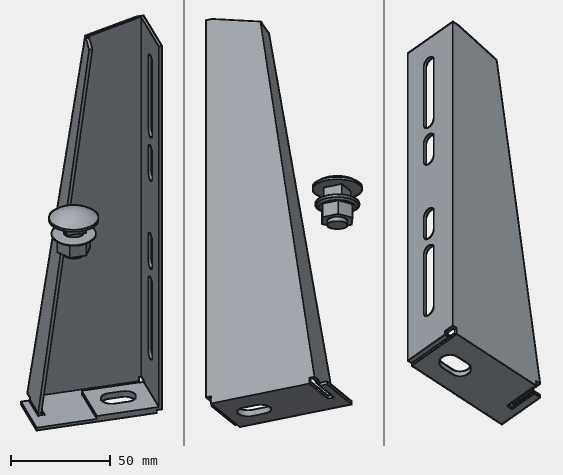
import cadquery as cq
import math

width = 32.5
depth = 65.5
height = 210.3
sheet = 1.7

wall_top_flat = 3.5
slope_top = (35.0, 203.5)
slope_bottom = (4.6, 2.7)

flange_top_width = 8.8
flange_bottom_width = 19.8
flange_top_drop = 3.2
flange_clearance = 2.0
front_notch_height = 3.2

back_notch_height = 4.0
back_notch_depth = 2.7
relief_front = 4.2
relief_back = 7.5
relief_length = 20.8
tab_left = 5.9
base_front_left = 4.8

tab_length = 34.0

hole_x = 17.5
slot_width = 7.0
slot_middle_z = 110.0
long_slot = (47.1, 63.7)
short_slot = (20.0, 25.2)
base_hole_width = 11.0
base_hole_length = 17.9
base_hole_from_back = 18.3

bolt_x = 46.5
bolt_y = 15.1
bolt_bottom = 106.6
shank_diameter = 10.0
shank_length = 13.9
neck_length = 5.7
head_radius = 12.5
head_rim = 1.3
head_dome = 4.5

nut_bottom = 109.0
nut_height = 9.9
nut_across_flats = 15.0
nut_flange_radius = 11.1
nut_flange_rim = 1.5
nut_flange_height = 2.5
nut_flange_bottom_radius = 9.3


def box(x, y, z):
    """Box from (start, end) ranges."""
    return cq.Workplane("XY").box(
        x[1] - x[0], y[1] - y[0], z[1] - z[0], centered=False
    ).translate((x[0], y[0], z[0]))


slope_y = slope_top[0] - slope_bottom[0]
slope_z = slope_top[1] - slope_bottom[1]
sheet_along_y = sheet * math.hypot(slope_y, slope_z) / slope_z
foot = (slope_bottom[0] - slope_y / slope_z * slope_bottom[1], 0)


def side_wall():
    """Flat wall with a falling top edge and a sloping front edge."""
    return (
        cq.Workplane("YZ")
        .polyline([
            (depth, 0),
            (depth, height),
            (depth - wall_top_flat, height),
            slope_top,
            foot,
        ])
        .close()
        .extrude(sheet)
    )


def back_plate():
    """Upright plate with two pairs of mounting slots."""
    plate = box((0, width), (depth - sheet, depth), (sheet, height))
    for side in (-1, 1):
        for length, offset in (long_slot, short_slot):
            slot = (
                cq.Workplane("XZ", origin=(hole_x, depth, slot_middle_z + side * offset))
                .slot2D(length, slot_width, 90)
                .extrude(sheet)
            )
            plate = plate.cut(slot)
    return plate


def rear_tab():
    """Tab folded forward from the lower end of the back plate, lying on the base."""
    return box((tab_left, width), (depth - tab_length, depth), (sheet, 2 * sheet))


def base():
    """Base folded from the side wall, with the relief slot below the front flange."""
    main = box((0, width), (relief_back, depth - back_notch_depth), (0, sheet))
    front = box((base_front_left, width), (0, relief_back), (0, sheet))
    relief = box((0, relief_length), (relief_front, relief_back), (0, sheet))
    return main.union(front.cut(relief))


def front_flange():
    """Tapered flange folded along the sloping front edge of the side wall."""
    strip = (
        cq.Workplane("YZ")
        .polyline([
            foot,
            slope_top,
            (slope_top[0] + sheet_along_y, slope_top[1]),
            (foot[0] + sheet_along_y, 0),
        ])
        .close()
        .extrude(width)
    )
    taper = (
        cq.Workplane("XZ", origin=(0, depth, 0))
        .polyline([
            (0, flange_clearance),
            (0, slope_top[1]),
            (flange_top_width, slope_top[1] - flange_top_drop),
            (flange_bottom_width, flange_clearance),
        ])
        .close()
        .extrude(depth)
    )
    return strip.intersect(taper)


def make_bracket():
    back_notch = box((0, tab_left), (depth - back_notch_depth, depth), (0, back_notch_height))
    front_notch = box((0, base_front_left), (0, relief_back), (0, front_notch_height))
    base_hole = (
        cq.Workplane("XY", origin=(hole_x, depth - base_hole_from_back, 0))
        .slot2D(base_hole_length, base_hole_width, 90)
        .extrude(2 * sheet)
    )
    body = side_wall().union(back_plate()).union(rear_tab()).union(base()).union(front_flange())
    return body.cut(back_notch).cut(front_notch).cut(base_hole)


def make_bolt():
    """Carriage bolt: round shank, square neck and domed head."""
    neck_bottom = bolt_bottom + shank_length
    head_bottom = neck_bottom + neck_length
    shank = (
        cq.Workplane("XY", origin=(bolt_x, bolt_y, bolt_bottom))
        .circle(shank_diameter / 2)
        .extrude(shank_length)
    )
    neck = (
        cq.Workplane("XY", origin=(bolt_x, bolt_y, neck_bottom))
        .rect(shank_diameter, shank_diameter)
        .extrude(neck_length)
    )
    dome_radius = (head_radius**2 + head_dome**2) / (2 * head_dome)
    half_angle = math.asin(head_radius / dome_radius) / 2
    dome_mid = (
        dome_radius * math.sin(half_angle),
        head_rim + head_dome - dome_radius * (1 - math.cos(half_angle)),
    )
    head = (
        cq.Workplane("XZ", origin=(bolt_x, bolt_y, head_bottom))
        .lineTo(head_radius, 0)
        .lineTo(head_radius, head_rim)
        .threePointArc(dome_mid, (0, head_rim + head_dome))
        .close()
        .revolve(360, (0, 0), (0, 1))
    )
    return shank.union(neck).union(head)


def make_nut():
    """Hexagon nut with a conical flange on top, a corner of the hexagon towards -Y."""
    hexagon = (
        cq.Workplane("XY", origin=(bolt_x, bolt_y, nut_bottom))
        .transformed(rotate=(0, 0, 90))
        .polygon(6, nut_across_flats / math.cos(math.pi / 6))
        .extrude(nut_height)
    )
    rim_start = nut_flange_radius - nut_flange_rim / 2
    flange = (
        cq.Workplane("XZ", origin=(bolt_x, bolt_y, nut_bottom + nut_height))
        .lineTo(rim_start, 0)
        .threePointArc((nut_flange_radius, -nut_flange_rim / 2), (rim_start, -nut_flange_rim))
        .lineTo(nut_flange_bottom_radius, -nut_flange_height)
        .lineTo(0, -nut_flange_height)
        .close()
        .revolve(360, (0, 0), (0, 1))
    )
    bore = (
        cq.Workplane("XY", origin=(bolt_x, bolt_y, nut_bottom))
        .circle(shank_diameter / 2)
        .extrude(nut_height)
    )
    return hexagon.union(flange).cut(bore)


bracket = make_bracket()
bolt = make_bolt()
nut = make_nut()

result = cq.Compound.makeCompound([bracket.val(), bolt.val(), nut.val()])